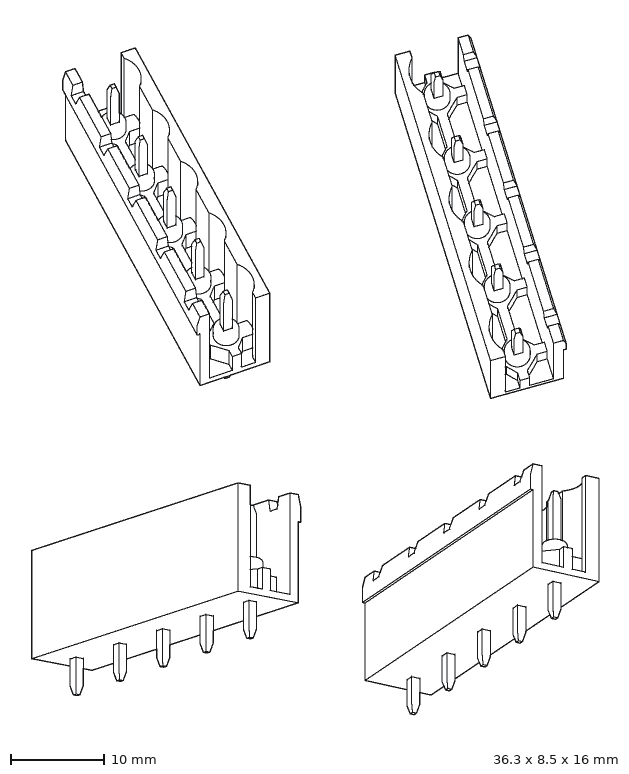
import cadquery as cq

LENGTH = 36.28
HEIGHT = 12.0
PIN_COUNT = 5
PITCH = 7.62
PIN_X = [(i - (PIN_COUNT - 1) / 2) * PITCH for i in range(PIN_COUNT)]

FLOOR_THICKNESS = 0.75
FRONT_INNER_Y = -3.2
BACK_INNER_Y = 2.18
FRONT_WALL = 1.12
BACK_WALL = 1.67
FRONT_OUTER_Y = FRONT_INNER_Y - FRONT_WALL
BACK_OUTER_Y = BACK_INNER_Y + BACK_WALL
SCALLOP_RADIUS = 3.0

LATCH_DEPTH = 0.33
LATCH_BOTTOM_Z = 9.0
LATCH_BEVEL_Z = 10.7
NOTCH_TOP_WIDTH = 1.78
NOTCH_BOTTOM_WIDTH = 1.2

RIB_TOP_Z = 3.15
RIB_WIDTH = 1.1
PAD_HALF_WIDTH = 2.03
BACK_STRIP_HALF_WIDTH = 0.98
BACK_STRIP_START_Y = 1.5
FRONT_STRIP_HALF_WIDTH = 0.55
FRONT_STRIP_START_Y = -2.05

BOSS_DIAMETER = 2.8
BOSS_TOP_Z = 4.8
BOSS_FILLET = 0.5

PIN_WIDTH = 1.0
PIN_TIP_WIDTH = 0.5
PIN_TAPER = 0.98
PIN_BOTTOM_Z = -4.0
PIN_TOP_Z = 10.7


def make_trough():
    """U-shaped profile with the latch ledge, extruded along X."""
    profile = [
        (BACK_OUTER_Y, 0),
        (BACK_OUTER_Y, HEIGHT),
        (BACK_INNER_Y, HEIGHT),
        (BACK_INNER_Y, FLOOR_THICKNESS),
        (FRONT_INNER_Y, FLOOR_THICKNESS),
        (FRONT_INNER_Y, HEIGHT),
        (FRONT_OUTER_Y, HEIGHT),
        (FRONT_OUTER_Y - LATCH_DEPTH, LATCH_BEVEL_Z),
        (FRONT_OUTER_Y - LATCH_DEPTH, LATCH_BOTTOM_Z),
        (FRONT_OUTER_Y, LATCH_BOTTOM_Z),
        (FRONT_OUTER_Y, 0),
    ]
    return cq.Workplane("YZ").polyline(profile).close().extrude(LENGTH / 2, both=True)


def make_scallop(x):
    """Cutter for the round relief in the back wall; it keeps to the back of the pin row."""
    return (
        cq.Workplane("XY", origin=(x, 0, FLOOR_THICKNESS))
        .moveTo(-SCALLOP_RADIUS, 0)
        .threePointArc((0, SCALLOP_RADIUS), (SCALLOP_RADIUS, 0))
        .close()
        .extrude(HEIGHT - FLOOR_THICKNESS)
    )


def make_notch(x):
    """Cutter for the tapered notch through the top of the front wall."""
    half_bottom = NOTCH_BOTTOM_WIDTH / 2
    half_top = NOTCH_TOP_WIDTH / 2
    return (
        cq.Workplane("XZ", origin=(x, FRONT_INNER_Y, 0))
        .polyline([
            (-half_bottom, LATCH_BEVEL_Z),
            (half_bottom, LATCH_BEVEL_Z),
            (half_top, HEIGHT),
            (-half_top, HEIGHT),
        ])
        .close()
        .extrude(FRONT_WALL + LATCH_DEPTH)
    )


def make_long_rib():
    """Rib running the whole length of the channel through the pin row."""
    return cq.Workplane("XY").rect(LENGTH, RIB_WIDTH).extrude(RIB_TOP_Z)


def make_cross_rib(x):
    """Rib from wall to wall that widens into a pad around the pin."""
    back_end_y = (BACK_OUTER_Y + SCALLOP_RADIUS) / 2
    right_side = [
        (FRONT_STRIP_HALF_WIDTH, FRONT_INNER_Y),
        (FRONT_STRIP_HALF_WIDTH, FRONT_STRIP_START_Y),
        (PAD_HALF_WIDTH, -RIB_WIDTH / 2),
        (PAD_HALF_WIDTH, RIB_WIDTH / 2),
        (BACK_STRIP_HALF_WIDTH, BACK_STRIP_START_Y),
        (BACK_STRIP_HALF_WIDTH, back_end_y),
    ]
    left_side = [(-px, py) for px, py in reversed(right_side)]
    return (
        cq.Workplane("XY", origin=(x, 0, 0))
        .polyline(right_side + left_side)
        .close()
        .extrude(RIB_TOP_Z)
    )


def make_boss(x):
    """Round boss with a filleted top edge."""
    return (
        cq.Workplane("XY", origin=(x, 0, 0))
        .circle(BOSS_DIAMETER / 2)
        .extrude(BOSS_TOP_Z)
        .faces(">Z")
        .edges()
        .fillet(BOSS_FILLET)
    )


def make_pin_hole(x):
    """Cutter for the square hole that the pin fills."""
    return cq.Workplane("XY", origin=(x, 0, 0)).rect(PIN_WIDTH, PIN_WIDTH).extrude(BOSS_TOP_Z)


def make_housing():
    housing = make_trough()
    for x in PIN_X:
        housing = housing.cut(make_scallop(x)).cut(make_notch(x))
    housing = housing.union(make_long_rib())
    for x in PIN_X:
        housing = housing.union(make_cross_rib(x)).union(make_boss(x)).cut(make_pin_hole(x))
    return housing


def make_taper(x, base_z, direction):
    """Pin end narrowing from base_z upward (direction 1) or downward (direction -1)."""
    return (
        cq.Workplane("XY", origin=(x, 0, base_z))
        .rect(PIN_WIDTH, PIN_WIDTH)
        .workplane(offset=direction * PIN_TAPER)
        .rect(PIN_TIP_WIDTH, PIN_TIP_WIDTH)
        .loft()
    )


def make_pin(x):
    shank_bottom_z = PIN_BOTTOM_Z + PIN_TAPER
    shank_top_z = PIN_TOP_Z - PIN_TAPER
    shank = (
        cq.Workplane("XY", origin=(x, 0, shank_bottom_z))
        .rect(PIN_WIDTH, PIN_WIDTH)
        .extrude(shank_top_z - shank_bottom_z)
    )
    return shank.union(make_taper(x, shank_top_z, 1)).union(make_taper(x, shank_bottom_z, -1))


housing = make_housing()
pins = [make_pin(x).solids().val() for x in PIN_X]
result = cq.Compound.makeCompound([housing.solids().val(), *pins])